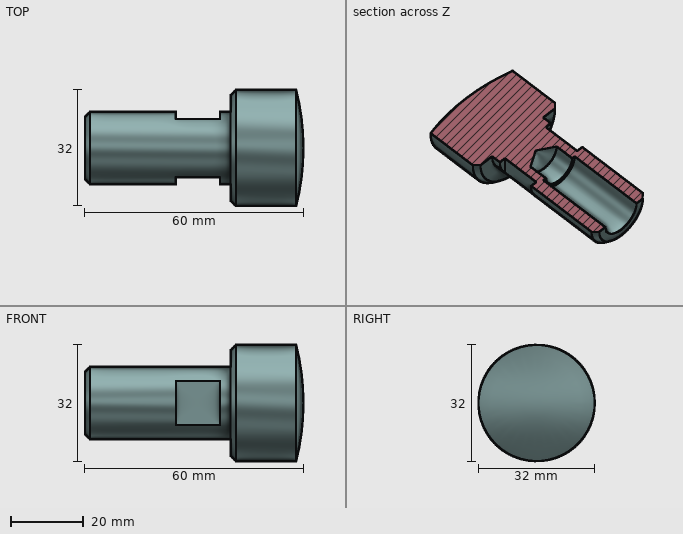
import cadquery as cq
import math

total_length = 60.0
shaft_diameter = 20.0
shaft_length = 40.0
head_diameter = 32.0
dome_height = 2.05
chamfer = 1.5

flat_start = 25.0
flat_length = 12.0
across_flats = 16.0

bore_diameter = 12.0
bore_depth = 24.0
drill_diameter = 10.1
drill_depth = 30.0
drill_point_angle = 118.0

shaft_radius = shaft_diameter / 2
head_radius = head_diameter / 2


def make_body():
    """Shaft and domed head, revolved about the X axis."""
    dome_start = total_length - dome_height
    sphere_radius = (head_radius**2 + dome_height**2) / (2 * dome_height)
    mid_radius = head_radius / 2
    mid_x = total_length - sphere_radius + math.sqrt(sphere_radius**2 - mid_radius**2)
    profile = (
        cq.Workplane("XY")
        .lineTo(0, shaft_radius - chamfer)
        .lineTo(chamfer, shaft_radius)
        .lineTo(shaft_length, shaft_radius)
        .lineTo(shaft_length, head_radius - chamfer)
        .lineTo(shaft_length + chamfer, head_radius)
        .lineTo(dome_start, head_radius)
        .threePointArc((mid_x, mid_radius), (total_length, 0))
        .close()
    )
    return profile.revolve(360, (0, 0, 0), (1, 0, 0))


def make_bore():
    """Wide bore, narrower drilled hole and its conical tip."""
    bore_radius = bore_diameter / 2
    drill_radius = drill_diameter / 2
    tip_length = drill_radius / math.tan(math.radians(drill_point_angle / 2))
    profile = (
        cq.Workplane("XY")
        .lineTo(0, bore_radius)
        .lineTo(bore_depth, bore_radius)
        .lineTo(bore_depth, drill_radius)
        .lineTo(drill_depth, drill_radius)
        .lineTo(drill_depth + tip_length, 0)
        .close()
    )
    return profile.revolve(360, (0, 0, 0), (1, 0, 0))


def make_flat_cut(side):
    """Block that mills one wrench flat; side is +1 or -1 along Y."""
    cut_depth = (shaft_diameter - across_flats) / 2
    return cq.Workplane("XY").box(flat_length, cut_depth, shaft_diameter).translate(
        (flat_start + flat_length / 2, side * (across_flats + cut_depth) / 2, 0)
    )


result = make_body().cut(make_bore())
for side in (1, -1):
    result = result.cut(make_flat_cut(side))